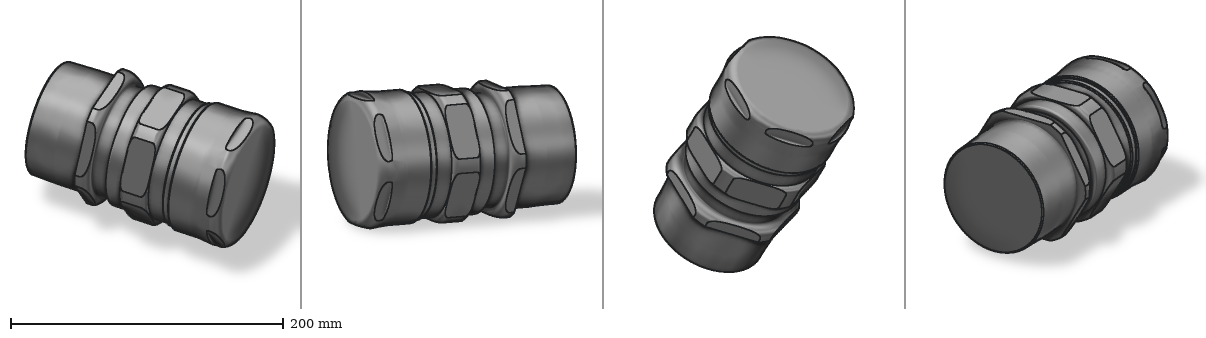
import cadquery as cq
import math

TOTAL_LENGTH = 160.7

ACROSS_FLATS = 95.0
HEX_CORNER_DIAMETER = 104.0
FLAT_COUNT = 6

NOSE_FACE_DIAMETER = 85.3
NOSE_DIAMETER = 87.5
NOSE_CHAMFER_LENGTH = 1.0
TAPER_END_X = 24.1
SHANK_DIAMETER = 88.9
SHANK_FILLET = 0.5
ENTRY_HEX_START_X = 44.4
ENTRY_HEX_LENGTH = 9.8
ENTRY_HEX_ROUNDING = 6.1
NECK_DIAMETER = 84.4
NECK_FILLET = 1.1

GLAND_START_X = 66.5
COLLAR_DIAMETER = 93.0
COLLAR_ROUNDING = 1.8
GLAND_HEX_START_X = 79.7
GLAND_HEX_LENGTH = 21.9
GLAND_HEX_ROUNDING = 4.0
BARREL_DIAMETER = 92.5

RING_DIAMETER = 95.0
RING_START_X = 113.3
RING_CHAMFER = 1.0

CAP_START_X = 118.6
CAP_DIAMETER = 98.8
CAP_CHAMFER = 1.0
BLEND_START_X = 136.8
BLEND_END_X = 140.8
FLARE_ANGLE = 6.2
CAP_ROUNDING = 6.9
CAP_FLAT_START_X = 150.6
CAP_FLAT_FILLET = 1.0


def cylinder(start_x, end_x, diameter):
    return cq.Workplane("YZ", origin=(start_x, 0, 0)).circle(diameter / 2).extrude(end_x - start_x)


def revolve_about_x(profile):
    return profile.close().revolve(360, (0, 0, 0), (1, 0, 0))


def hexagon_prism(start_x, length):
    """Hexagon with two flats facing up and down."""
    across_corners = ACROSS_FLATS / math.cos(math.pi / FLAT_COUNT)
    return cq.Workplane("YZ", origin=(start_x, 0, 0)).polygon(FLAT_COUNT, across_corners).extrude(length)


def rounded_hexagon(start_x, length, rounding, rounded_ends):
    """Hexagon with its corners turned down to a cylinder that is rounded at the chosen ends."""
    turned = cylinder(start_x, start_x + length, HEX_CORNER_DIAMETER)
    turned = turned.faces(rounded_ends).edges().fillet(rounding)
    return hexagon_prism(start_x, length).intersect(turned)


def make_entry():
    hex_end_x = ENTRY_HEX_START_X + ENTRY_HEX_LENGTH
    shank_radius = SHANK_DIAMETER / 2
    neck_radius = NECK_DIAMETER / 2
    core = revolve_about_x(
        cq.Workplane("XY")
        .lineTo(0, NOSE_FACE_DIAMETER / 2)
        .lineTo(NOSE_CHAMFER_LENGTH, NOSE_DIAMETER / 2)
        .lineTo(TAPER_END_X, shank_radius)
        .lineTo(ENTRY_HEX_START_X - SHANK_FILLET, shank_radius)
        .radiusArc((ENTRY_HEX_START_X, shank_radius + SHANK_FILLET), -SHANK_FILLET)
        .lineTo(hex_end_x, shank_radius + SHANK_FILLET)
        .lineTo(hex_end_x, neck_radius + NECK_FILLET)
        .radiusArc((hex_end_x + NECK_FILLET, neck_radius), -NECK_FILLET)
        .lineTo(GLAND_START_X, neck_radius)
        .lineTo(GLAND_START_X, 0)
    )
    return core.union(rounded_hexagon(ENTRY_HEX_START_X, ENTRY_HEX_LENGTH, ENTRY_HEX_ROUNDING, ">X"))


def make_gland_body():
    hex_end_x = GLAND_HEX_START_X + GLAND_HEX_LENGTH
    collar = cylinder(GLAND_START_X, GLAND_HEX_START_X, COLLAR_DIAMETER)
    collar = collar.faces("<X").edges().fillet(COLLAR_ROUNDING)
    hexagon = rounded_hexagon(GLAND_HEX_START_X, GLAND_HEX_LENGTH, GLAND_HEX_ROUNDING, "|X")
    barrel = cylinder(hex_end_x, RING_START_X, BARREL_DIAMETER)
    return collar.union(hexagon).union(barrel)


def make_ring():
    ring = cylinder(RING_START_X, CAP_START_X, RING_DIAMETER)
    return ring.faces("<X").edges().chamfer(RING_CHAMFER)


def cut_cap_flats(cap):
    """Mill six flats into the outer end, each run-out wall blending into its flat."""
    length = TOTAL_LENGTH - CAP_FLAT_START_X
    depth = (HEX_CORNER_DIAMETER - ACROSS_FLATS) / 2
    cutter = (
        cq.Workplane("XY", origin=(CAP_FLAT_START_X, 0, ACROSS_FLATS / 2))
        .box(length, ACROSS_FLATS, depth, centered=(False, True, False))
        .edges("<X and <Z").fillet(CAP_FLAT_FILLET)
    )
    for index in range(FLAT_COUNT):
        cap = cap.cut(cutter.rotate((0, 0, 0), (1, 0, 0), index * 360 / FLAT_COUNT))
    return cap


def make_cap():
    """Cylinder that an arc blends tangentially into a flare of constant angle."""
    slope = math.radians(FLARE_ANGLE)
    cap_radius = CAP_DIAMETER / 2
    blend_length = BLEND_END_X - BLEND_START_X
    blend_end_radius = cap_radius + blend_length * math.tan(slope / 2)
    flare_end_radius = blend_end_radius + (TOTAL_LENGTH - BLEND_END_X) * math.tan(slope)
    cap = revolve_about_x(
        cq.Workplane("XY")
        .moveTo(CAP_START_X, 0)
        .lineTo(CAP_START_X, cap_radius - CAP_CHAMFER)
        .lineTo(CAP_START_X + CAP_CHAMFER, cap_radius)
        .lineTo(BLEND_START_X, cap_radius)
        .radiusArc((BLEND_END_X, blend_end_radius), -blend_length / math.sin(slope))
        .lineTo(TOTAL_LENGTH, flare_end_radius)
        .lineTo(TOTAL_LENGTH, 0)
    )
    cap = cap.faces(">X").edges().fillet(CAP_ROUNDING)
    return cut_cap_flats(cap)


entry = make_entry()
gland_body = make_gland_body()
ring = make_ring()
cap = make_cap()

result = cq.Compound.makeCompound([entry.val(), gland_body.val(), ring.val(), cap.val()])